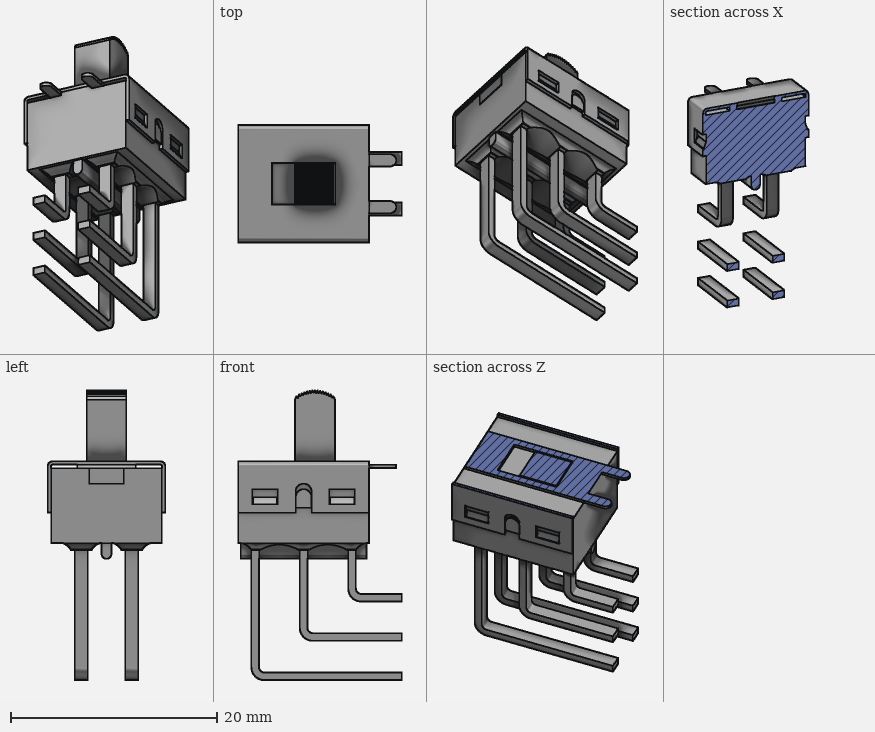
import cadquery as cq
import math


full_round = 0.499

body_length = 12.69
body_width = 10.75
body_height = 7.27

sheet = 0.34
cover_bend_radius = 0.5
cover_skirt_bottom = 2.97
plate_bottom = body_height
cover_length = 12.7
cover_width = body_width + 2 * sheet
cover_bottom = plate_bottom + sheet
cover_top = cover_bottom + sheet

plate_width = 5.7
lug_width = 1.18
lug_reach = 8.98
plate_end_slope = 0.15
tab_width = 3.3
tab_height = 1.52
tab_setback = 0.03

opening_length = 6.12
opening_width = 3.98
plate_opening_margin = 0.03

knob_length = 3.9
knob_width = 3.84
knob_end_gap = 0.01
knob_x = opening_length / 2 - knob_end_gap - knob_length / 2
knob_top = 14.83
knob_shoulder = 13.93
grip_radius = 3.1
grip_teeth = 15
grip_pitch = 0.256
grip_depth = 0.25

window_length = 2.48
window_height = 1.44
window_bottom = 3.79
window_x = 3.74
catch_length = 2.3
catch_height = 0.67
catch_reach = 0.25

notch_width = 1.56
notch_top = 5.77
key_width = 1.5
key_bottom = 3.46
key_top = 5.24
key_reach = 0.22

pin_pitch = 4.7
row_spacing = 4.9
pin_thickness = 0.76
pin_width = 1.27
pin_bend_radius = 1.27
pin_end_x = 9.53
lowest_leg_bottom = -13.29
leg_pitch = 3.81
pin_xs = [-pin_pitch, 0, pin_pitch]
row_ys = [-row_spacing / 2, row_spacing / 2]

seal_depth = 0.7
seal_foot_length = 0.8
seal_foot_width = 2.04
seal_base_width = 3.6
seal_end_reach = 1.25
seal_lip = 0.1
seal_saddle_depth = 0.15
seal_flare_sag = 0.1

rib_length = 12.2
rib_width = 0.98
rib_depth = 1.525


def block(length, width, bottom, top, x=0, y=0):
    """Upright block centred on (x, y) between two heights."""
    return (
        cq.Workplane("XY", origin=(x, y, bottom))
        .rect(length, width)
        .extrude(top - bottom)
    )


def round_topped(width, bottom, top, depth):
    """Arch with a semicircular top in XZ, extruded evenly about Y = 0."""
    spring = top - width / 2
    return (
        cq.Workplane("XZ")
        .moveTo(-width / 2, bottom)
        .lineTo(width / 2, bottom)
        .lineTo(width / 2, spring)
        .threePointArc((0, top), (-width / 2, spring))
        .close()
        .extrude(depth / 2, both=True)
    )


def make_cover():
    shell = block(cover_length, cover_width, cover_skirt_bottom, cover_top)
    shell = shell.edges("|X and >Z").fillet(cover_bend_radius)
    inner_radius = cover_bend_radius - sheet
    cavity = block(cover_length, body_width, cover_skirt_bottom, cover_bottom)
    cavity = cavity.edges("|X and >Z").fillet(inner_radius)
    cover = shell.cut(cavity)
    window_top = window_bottom + window_height
    for x in (-window_x, window_x):
        cover = cover.cut(block(window_length, cover_width, window_bottom, window_top, x))
    cover = cover.cut(round_topped(notch_width, cover_skirt_bottom, notch_top, cover_width))
    return cover.cut(block(opening_length, opening_width, cover_bottom, cover_top))


def make_plate():
    end = body_length / 2
    plate = (
        cq.Workplane("XZ")
        .moveTo(-end, plate_bottom)
        .lineTo(end, plate_bottom)
        .lineTo(end, cover_bottom)
        .lineTo(-end + plate_end_slope, cover_bottom)
        .close()
        .extrude(plate_width / 2, both=True)
    )
    lug_y = (plate_width - lug_width) / 2
    for y in (-lug_y, lug_y):
        lug = block(lug_reach, lug_width, plate_bottom, cover_bottom, lug_reach / 2, y)
        plate = plate.union(lug.edges("|Z and >X").fillet(lug_width * full_round))
    hole_length = opening_length + 2 * plate_opening_margin
    hole_width = opening_width + 2 * plate_opening_margin
    return plate.cut(block(hole_length, hole_width, plate_bottom, cover_bottom))


def make_body():
    body = block(body_length, body_width, 0, body_height)
    recess_bottom = body_height - tab_height
    recess_x = (tab_setback - body_length) / 2
    tab_recess = block(tab_setback, tab_width, recess_bottom, body_height, recess_x)
    body = body.cut(tab_recess)
    half_width = body_width / 2
    catch = (
        cq.Workplane("YZ")
        .moveTo(-half_width, window_bottom)
        .lineTo(-half_width - catch_reach, window_bottom)
        .lineTo(-half_width, window_bottom + catch_height)
        .lineTo(half_width, window_bottom + catch_height)
        .lineTo(half_width + catch_reach, window_bottom)
        .close()
        .extrude(catch_length / 2, both=True)
    )
    for x in (-window_x, window_x):
        body = body.union(catch.translate((x, 0, 0)))
    return body.union(round_topped(key_width, key_bottom, key_top, body_width + 2 * key_reach))


def make_knob():
    def grip_height(x):
        return knob_top - grip_radius + math.sqrt(grip_radius**2 - x**2)

    first_tip = -(grip_teeth - 1) / 2 * grip_pitch
    grip = []
    for i in range(grip_teeth):
        tip = first_tip + i * grip_pitch
        grip.append((tip, grip_height(tip)))
        if i < grip_teeth - 1:
            valley = tip + grip_pitch / 2
            grip.append((valley, grip_height(valley) - grip_depth))
    half = knob_length / 2
    shank = [
        (half, knob_shoulder),
        (half, body_height),
        (-half, body_height),
        (-half, knob_shoulder),
    ]
    return (
        cq.Workplane("XZ", origin=(knob_x, 0, 0))
        .polyline(shank + grip)
        .close()
        .extrude(knob_width / 2, both=True)
    )


def make_pin(x, y, leg_bottom):
    """L-shaped flat terminal, bent toward +X."""
    left = x - pin_thickness / 2
    right = x + pin_thickness / 2
    leg_top = leg_bottom + pin_thickness
    inner_radius = pin_bend_radius - pin_thickness
    diagonal = 1 - math.sqrt(0.5)
    return (
        cq.Workplane("XZ", origin=(0, y, 0))
        .moveTo(left, 0)
        .lineTo(left, leg_bottom + pin_bend_radius)
        .threePointArc(
            (left + pin_bend_radius * diagonal, leg_bottom + pin_bend_radius * diagonal),
            (left + pin_bend_radius, leg_bottom),
        )
        .lineTo(pin_end_x, leg_bottom)
        .lineTo(pin_end_x, leg_top)
        .lineTo(right + inner_radius, leg_top)
        .threePointArc(
            (right + inner_radius * diagonal, leg_top + inner_radius * diagonal),
            (right, leg_top + inner_radius),
        )
        .lineTo(right, 0)
        .close()
        .extrude(pin_width / 2, both=True)
    )


def make_seal(y):
    """Concave fillet along one row: a scalloped side shape crossed with a flared section."""
    foot = seal_foot_length / 2
    end = pin_pitch + seal_end_reach
    lip_z = seal_lip - seal_depth
    mid_end = (end + pin_pitch + foot) / 2
    mid_z = lip_z / 2 + seal_flare_sag
    side = (
        cq.Workplane("XZ", origin=(0, y, 0))
        .moveTo(-end, 0)
        .threePointArc((-mid_end, mid_z), (-pin_pitch - foot, lip_z))
        .lineTo(-pin_pitch - foot, -seal_depth)
        .lineTo(-pin_pitch + foot, -seal_depth)
        .threePointArc((-pin_pitch / 2, -seal_saddle_depth), (-foot, -seal_depth))
        .lineTo(foot, -seal_depth)
        .threePointArc((pin_pitch / 2, -seal_saddle_depth), (pin_pitch - foot, -seal_depth))
        .lineTo(pin_pitch + foot, -seal_depth)
        .lineTo(pin_pitch + foot, lip_z)
        .threePointArc((mid_end, mid_z), (end, 0))
        .close()
        .extrude(seal_base_width / 2, both=True)
    )
    base = seal_base_width / 2
    foot_y = seal_foot_width / 2
    section = (
        cq.Workplane("YZ", origin=(0, y, 0))
        .moveTo(-base, 0)
        .threePointArc((-(base + foot_y) / 2, mid_z), (-foot_y, lip_z))
        .lineTo(-foot_y, -seal_depth)
        .lineTo(foot_y, -seal_depth)
        .lineTo(foot_y, lip_z)
        .threePointArc(((base + foot_y) / 2, mid_z), (base, 0))
        .close()
        .extrude(end, both=True)
    )
    return side.intersect(section)


def make_rib():
    rib = block(rib_length, rib_width, -rib_depth, 0)
    return rib.edges("|X and <Z").fillet(rib_width * full_round)


result = make_body().union(make_plate()).union(make_cover()).union(make_knob()).union(make_rib())
for row_y in row_ys:
    result = result.union(make_seal(row_y))
    for i, pin_x in enumerate(pin_xs):
        result = result.union(make_pin(pin_x, row_y, lowest_leg_bottom + i * leg_pitch))